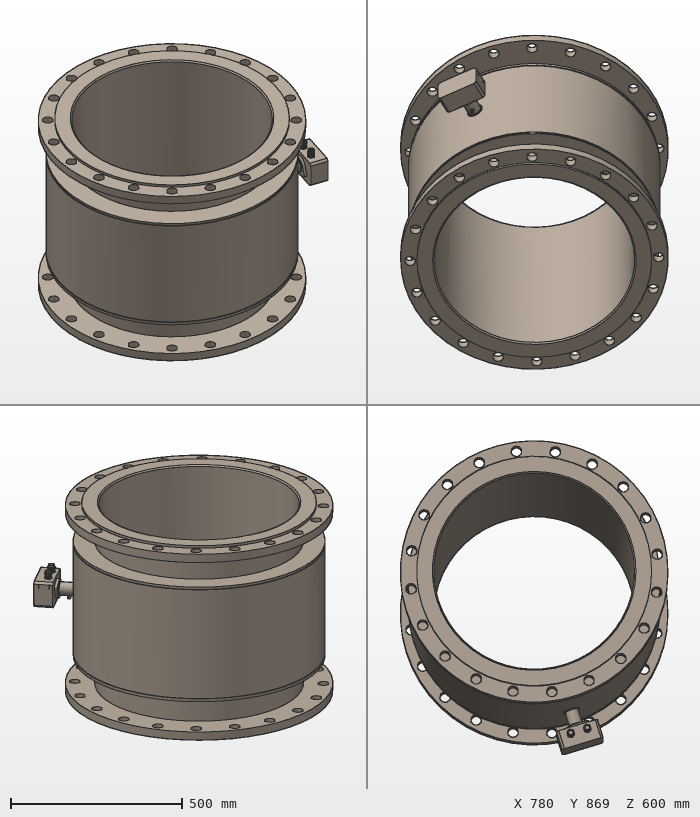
import cadquery as cq
import math

length = 600.0
bore_diameter = 585.0
bore_chamfer = 4.0
tube_diameter = 610.0
flange_diameter = 780.0
flange_thickness = 26.0
raised_face_diameter = 685.0
raised_face_height = 8.0
bolt_count = 20
bolt_circle_diameter = 725.0
bolt_hole_diameter = 30.0

jacket_length = 360.0
jacket_diameter = 735.0
end_plate_thickness = 9.0
shell_inner_diameter = 730.0
shell_length = jacket_length - 2 * end_plate_thickness

box_width = 125.0
box_depth = 56.5
box_height = 80.0
box_corner_chamfer = 7.0
box_back = 479.0
box_front = box_back - box_depth
box_top = box_height / 2

slit_width = 2.0
slit_height = 9.5
slit_depth = 1.0
slit_spacing = 30.0
slit_center_y = 448.0
slit_center_z = 25.0

gland_spacing = 50.0
gland_y = 442.0
gland_hex_flats = 20.0
gland_nut_height = 3.0
gland_neck_diameter = 16.0
gland_neck_height = 5.0
gland_body_diameter = 20.0
gland_body_height = 5.0
gland_hex_height = 3.5
gland_cap_diameter = 18.0
gland_cap_height = 6.0
gland_bore_diameter = 14.0

ear_flange_thickness = 9.0
ear_flange_diameter = 57.0
ear_radius = 6.0
ear_distance = 35.0
ear_tilt = -25.0
hub_height = 3.0
hub_start = box_front - ear_flange_thickness - hub_height

neck_diameter = 40.0
foot_diameter = 47.0
foot_height = 2.0

stud_y = 385.0
stud_head_diameter = 10.0
stud_head_bottom = -27.0
stud_tip_diameter = 9.0
stud_tip_bottom = -29.5


def z_disc(diameter, bottom, height):
    """Cylinder along Z that starts at the given Z."""
    return cq.Workplane("XY", origin=(0, 0, bottom)).circle(diameter / 2).extrude(height)


def y_disc(diameter, start, height):
    """Cylinder along +Y that starts at the given Y."""
    return cq.Workplane("XZ", origin=(0, start, 0)).circle(diameter / 2).extrude(-height)


def make_flange():
    """Drilled flange with its raised face, at the +Z end of the tube."""
    flange_top = length / 2 - raised_face_height
    flange_bottom = flange_top - flange_thickness
    bolt_holes = (
        cq.Workplane("XY", origin=(0, 0, flange_bottom))
        .polarArray(bolt_circle_diameter / 2, 180 / bolt_count, 360, bolt_count)
        .circle(bolt_hole_diameter / 2)
        .extrude(flange_thickness)
    )
    plate = z_disc(flange_diameter, flange_bottom, flange_thickness).cut(bolt_holes)
    return plate.union(z_disc(raised_face_diameter, flange_top, raised_face_height))


def make_bore():
    """Through bore that widens in a chamfer at both ends."""
    radius = bore_diameter / 2
    half = length / 2
    return (
        cq.Workplane("XZ")
        .moveTo(0, -half)
        .lineTo(radius + bore_chamfer, -half)
        .lineTo(radius, -half + bore_chamfer)
        .lineTo(radius, half - bore_chamfer)
        .lineTo(radius + bore_chamfer, half)
        .lineTo(0, half)
        .close()
        .revolve(360, (0, 0, 0), (0, 1, 0))
    )


def make_carrier():
    """Tube with its two flanges and the two end plates of the jacket."""
    flange = make_flange()
    carrier = z_disc(tube_diameter, -length / 2, length).union(flange).union(flange.mirror("XY"))
    for plate_bottom in (-jacket_length / 2, shell_length / 2):
        carrier = carrier.union(z_disc(jacket_diameter, plate_bottom, end_plate_thickness))
    return carrier.cut(make_bore())


def make_stud():
    """Stepped stud that hangs from the axis of the neck."""
    base = cq.Workplane("XY", origin=(0, stud_y, 0))
    head = base.circle(stud_head_diameter / 2).extrude(stud_head_bottom)
    tip = base.circle(stud_tip_diameter / 2).extrude(stud_tip_bottom)
    return head.union(tip)


def make_shell():
    """Sheet shell with the neck, its foot and the stud; all are trimmed to the round inside wall."""
    root = shell_inner_diameter / 2 - foot_diameter / 2
    foot_end = jacket_diameter / 2 + foot_height
    shell = (
        z_disc(jacket_diameter, -shell_length / 2, shell_length)
        .union(y_disc(foot_diameter, root, foot_end - root))
        .union(y_disc(neck_diameter, root, hub_start - root))
        .union(make_stud())
    )
    return shell.cut(z_disc(shell_inner_diameter, -shell_length / 2, shell_length))


def make_ear_flange():
    """Flange outlined by a large circle, two small ear circles and their common tangents."""
    radius = ear_flange_diameter / 2
    tangent_x = (radius - ear_radius) / ear_distance
    tangent_z = math.sqrt(1 - tangent_x**2)
    disc_x = radius * tangent_x
    disc_z = radius * tangent_z
    ear_x = ear_distance + ear_radius * tangent_x
    ear_z = ear_radius * tangent_z
    ear_tip = ear_distance + ear_radius
    return (
        cq.Workplane("XZ", origin=(0, box_front, 0))
        .transformed(rotate=(0, 0, ear_tilt))
        .moveTo(-disc_x, disc_z)
        .threePointArc((0, radius), (disc_x, disc_z))
        .lineTo(ear_x, ear_z)
        .threePointArc((ear_tip, 0), (ear_x, -ear_z))
        .lineTo(disc_x, -disc_z)
        .threePointArc((0, -radius), (-disc_x, -disc_z))
        .lineTo(-ear_x, -ear_z)
        .threePointArc((-ear_tip, 0), (-ear_x, ear_z))
        .close()
        .extrude(ear_flange_thickness)
    )


def make_gland():
    """Cable gland standing at Z = 0 on the Z axis, its hexagon corners pointing along Y."""
    hex_corners = gland_hex_flats / math.cos(math.pi / 6)
    body_bottom = gland_nut_height + gland_neck_height
    hex_bottom = body_bottom + gland_body_height
    cap_bottom = hex_bottom + gland_hex_height
    gland = z_disc(gland_neck_diameter, 0, body_bottom)
    gland = gland.union(z_disc(gland_body_diameter, body_bottom, gland_body_height))
    for bottom, height in ((0, gland_nut_height), (hex_bottom, gland_hex_height)):
        hexagon = cq.Workplane("XY", origin=(0, 0, bottom)).transformed(rotate=(0, 0, 90))
        gland = gland.union(hexagon.polygon(6, hex_corners).extrude(height))
    gland = gland.union(z_disc(gland_cap_diameter, cap_bottom, gland_cap_height))
    return gland.cut(z_disc(gland_bore_diameter, cap_bottom, gland_cap_height))


def make_head():
    """Terminal box with its glands, ear flange and hub."""
    box = (
        cq.Workplane("XZ", origin=(0, box_back, 0))
        .rect(box_width, box_height)
        .extrude(box_depth)
        .edges("|Y")
        .chamfer(box_corner_chamfer)
    )
    slits = (
        cq.Workplane("YZ", origin=(-box_width / 2, slit_center_y, slit_center_z))
        .rarray(slit_spacing, 9, 2, 1)
        .rect(slit_width, slit_height)
        .extrude(slit_depth)
    )
    box = box.cut(slits)
    gland = make_gland()
    for side in (-1, 1):
        box = box.union(gland.translate((side * gland_spacing / 2, gland_y, box_top)))
    hub = y_disc(neck_diameter, hub_start, hub_height)
    return box.union(make_ear_flange()).union(hub)


carrier = make_carrier()
shell = make_shell()
head = make_head()

result = cq.Compound.makeCompound([body.solids().val() for body in (carrier, shell, head)])